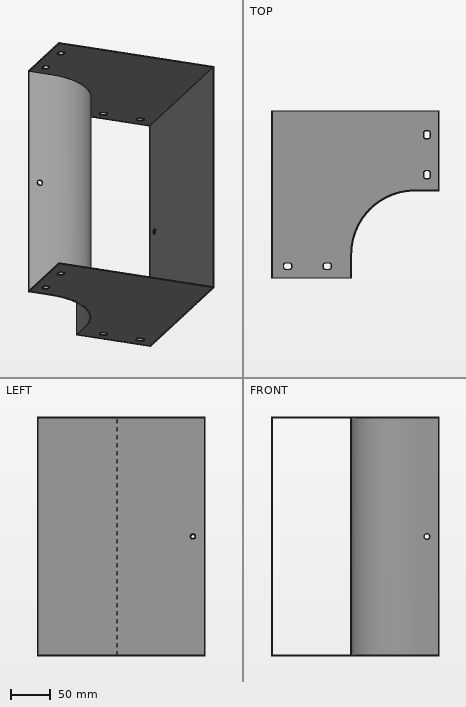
import cadquery as cq
import math

side = 210.0
height = 300.0
sheet = 1.2
leg_width = 100.5
end_straight = 30.0

end_inset = 15.0
outer_hole_diameter = 7.0
inner_hole_diameter = 5.0
slot_width = 7.8
slot_length = 10.0
slot_corner_radius = 2.5
front_slot_offsets = (20.0, 70.0)
side_slot_offsets = (30.0, 80.0)

bend_end = side - end_straight
bend_radius = bend_end - leg_width
bend_middle = bend_end - bend_radius * math.sqrt(0.5)


def elbow_plate(bottom):
    """L-shaped sheet with a concave quarter-circle inner corner."""
    return (
        cq.Workplane("XY", origin=(0, 0, bottom))
        .lineTo(0, side)
        .lineTo(side, side)
        .lineTo(side, side - leg_width)
        .lineTo(bend_end, side - leg_width)
        .threePointArc((bend_middle, side - bend_middle), (leg_width, side - bend_end))
        .lineTo(leg_width, 0)
        .close()
        .extrude(sheet)
    )


def inner_wall():
    """Curved sheet following the inner edge of the plates, thickened into the duct."""
    inside = leg_width - sheet
    inside_middle = bend_end - (bend_radius + sheet) * math.sqrt(0.5)
    return (
        cq.Workplane("XY")
        .moveTo(side, side - leg_width)
        .lineTo(bend_end, side - leg_width)
        .threePointArc((bend_middle, side - bend_middle), (leg_width, side - bend_end))
        .lineTo(leg_width, 0)
        .lineTo(inside, 0)
        .lineTo(inside, side - bend_end)
        .threePointArc((inside_middle, side - inside_middle), (bend_end, side - inside))
        .lineTo(side, side - inside)
        .close()
        .extrude(height)
    )


def rounded_slots(points, size_x, size_y):
    """Full-height rectangular cutters with rounded corners, centred on the points."""
    return (
        cq.Workplane("XY")
        .pushPoints(points)
        .rect(size_x, size_y)
        .extrude(height)
        .edges("|Z")
        .fillet(slot_corner_radius)
    )


def slot_cutters():
    """Slots through both plates, in a row across each open end."""
    front_points = [(offset, end_inset) for offset in front_slot_offsets]
    side_points = [(side - end_inset, side - offset) for offset in side_slot_offsets]
    front_slots = rounded_slots(front_points, slot_length, slot_width)
    side_slots = rounded_slots(side_points, slot_width, slot_length)
    return front_slots.union(side_slots)


def wall_hole(start, direction, diameter):
    """Round cutter extending half a leg width from the start point."""
    return cq.Workplane(
        cq.Solid.makeCylinder(diameter / 2, leg_width / 2, cq.Vector(*start), cq.Vector(*direction))
    )


mid_height = height / 2
outer_wall = cq.Workplane("XY").box(sheet, side, height, centered=False)

result = elbow_plate(0).union(elbow_plate(height - sheet)).union(outer_wall).union(inner_wall())
result = result.cut(slot_cutters())
result = result.cut(wall_hole((0, end_inset, mid_height), (1, 0, 0), outer_hole_diameter))
result = result.cut(wall_hole((leg_width, end_inset, mid_height), (-1, 0, 0), inner_hole_diameter))
result = result.cut(
    wall_hole((side - end_inset, side - leg_width, mid_height), (0, 1, 0), outer_hole_diameter)
)